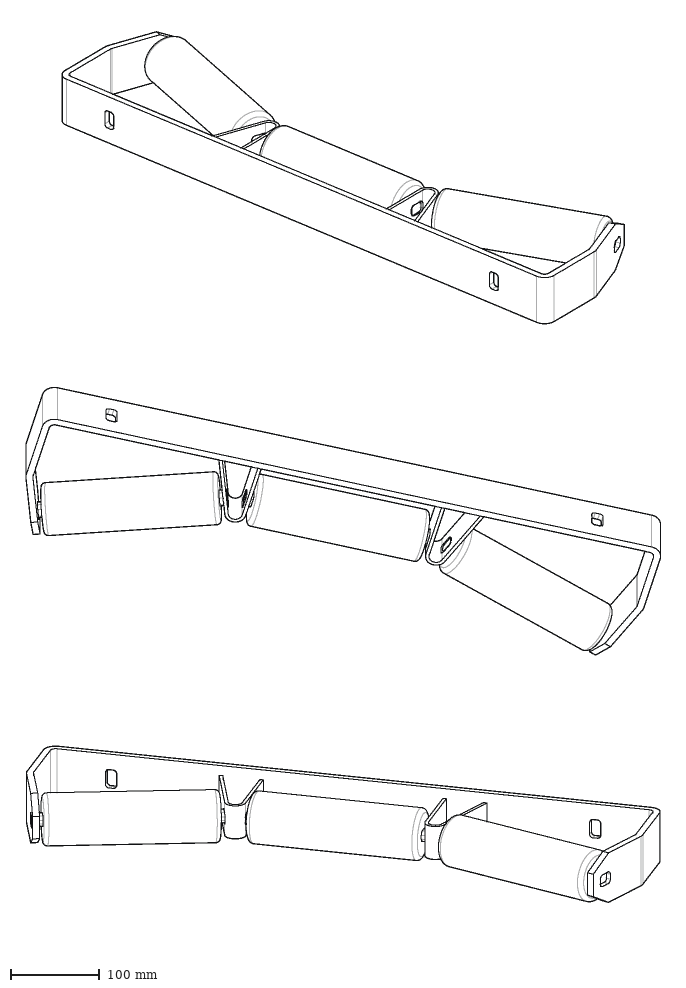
import cadquery as cq
import math


trough_angle = 20.0
roller_span = 210.0

frame_length = 720.0
frame_depth = 175.26
bar_height = 60.0
frame_thickness = 8.0
frame_bend_radius = 14.0
arm_corner_y = 86.6
tip_height = 27.0
tip_taper_length = 29.5

mount_slot_spacing = 566.0
mount_slot_width = 13.0
mount_slot_height = 22.0
mount_slot_corner = 4.0

bracket_thickness = 4.0
bracket_height = 40.0
bracket_bend_radius = 12.0

roller_diameter = 60.0
roller_length = 200.0
roller_edge_radius = 5.0
middle_axis_y = 72.0
inner_axis_z = -2.0
side_axis_along_arm = 70.0

axle_width = 17.0
axle_height = 12.5
axle_corner = 4.0
axle_engagement = 3.0

slot_width = 19.0
slot_height = 14.0
slot_corner = 4.0

tilt = math.radians(trough_angle)
sin_tilt = math.sin(tilt)
cos_tilt = math.cos(tilt)
half_length = frame_length / 2
arm_length = (frame_depth - arm_corner_y) / cos_tilt
corner_setback = math.tan(tilt / 2)


def arm_point(along, inward=0.0):
    """Point on the left arm: distance along its outer face and depth below that face."""
    x = -half_length + along * sin_tilt + inward * cos_tilt
    y = arm_corner_y + along * cos_tilt - inward * sin_tilt
    return x, y


def plate_plane(origin, turn, lift=0.0):
    """Plane whose normal is turned about Z and lifted out of XY; local x lies in XY, local y is upward."""
    turn_radians = math.radians(turn)
    lift_radians = math.radians(lift)
    normal = (
        math.cos(turn_radians) * math.cos(lift_radians),
        math.sin(turn_radians) * math.cos(lift_radians),
        math.sin(lift_radians),
    )
    across = (-math.sin(turn_radians), math.cos(turn_radians), 0)
    return cq.Plane(origin=origin, xDir=across, normal=normal)


def centred_on(plane, length):
    """The plane moved back along its normal, so that an extrusion of this length is centred on it."""
    return cq.Workplane(plane).workplane(offset=-length / 2)


def rounded_bar(plane, width, height, corner, length):
    """Rounded rectangular bar centred on the plane."""
    bar = centred_on(plane, length).rect(width, height).extrude(length)
    return bar.edges(cq.selectors.ParallelDirSelector(plane.zDir)).fillet(corner)


side_centre_x, side_centre_y = arm_point(side_axis_along_arm, frame_thickness + roller_span / 2)
side_centre_z = inner_axis_z / 2
side_lift = math.degrees(math.asin(-inner_axis_z / roller_span))

roller_places = [
    ((side_centre_x, side_centre_y, side_centre_z), -trough_angle, -side_lift),
    ((0.0, middle_axis_y, inner_axis_z), 0.0, 0.0),
    ((-side_centre_x, side_centre_y, side_centre_z), trough_angle, side_lift),
]


def axle_slots(z):
    """Cutters for axle slots at height z, long enough to pass through the plates at both roller ends.

    Each axle rests on the end of its slot that faces the web, so all the clearance is beyond it.
    """
    slot_length = roller_span + 4 * frame_thickness
    clearance = slot_width - axle_width
    cutters = []
    for (x, y, _), turn, _ in roller_places:
        plane = plate_plane((x, y, z), turn)
        plane.origin = plane.toWorldCoords((clearance / 2, 0, 0))
        cutters.append(rounded_bar(plane, slot_width, slot_height, slot_corner, slot_length))
    return cutters


def build_frame():
    inner_side_x = -half_length + frame_thickness
    inner_corner_y = arm_corner_y - frame_thickness * corner_setback
    left = [
        (-half_length, 0.0),
        (-half_length, arm_corner_y),
        arm_point(arm_length),
        arm_point(arm_length, frame_thickness),
        (inner_side_x, inner_corner_y),
        (inner_side_x, frame_thickness),
    ]
    right = [(-x, y) for x, y in reversed(left)]
    frame = cq.Workplane("XY").polyline(left + right).close().extrude(bar_height / 2, both=True)

    outer_corners = [left[0], left[1], right[-1], right[-2]]
    inner_corners = [left[4], left[5], right[0], right[1]]
    frame = round_bends(frame, outer_corners, frame_bend_radius)
    frame = round_bends(frame, inner_corners, frame_bend_radius - frame_thickness)
    frame = taper_tips(frame)

    mount_slots = (
        cq.Workplane("XZ")
        .pushPoints([(side * mount_slot_spacing / 2, 0) for side in (-1, 1)])
        .rect(mount_slot_width, mount_slot_height)
        .extrude(-frame_thickness)
        .edges("|Y")
        .fillet(mount_slot_corner)
    )
    frame = frame.cut(mount_slots)
    for slot in axle_slots(0.0):
        frame = frame.cut(slot)
    return frame


def round_bends(body, corners, radius):
    """Fillet the upright edges that pass through the given XY corners."""
    for x, y in corners:
        body = body.edges(cq.selectors.NearestToPointSelector((x, y, 0))).fillet(radius)
    return body


def taper_tips(frame):
    """Cut the top and bottom corners off both arm tips."""
    half_height = bar_height / 2
    corner_cut = [
        (arm_length, tip_height / 2),
        (arm_length, half_height),
        (arm_length - tip_taper_length, half_height),
    ]
    arm_face = plate_plane((*arm_point(0.0), 0.0), -trough_angle)
    cutter = cq.Workplane(arm_face).polyline(corner_cut).close().extrude(frame_thickness)
    cutter = cutter.union(cutter.mirror("XY"))
    return frame.cut(cutter).cut(cutter.mirror("YZ"))


def build_bracket(side):
    """Flat bar folded into an upright leg and a leg parallel to the arm, standing on the web."""
    fold_x = -roller_span / 2 - bracket_bend_radius
    arm_face_distance = half_length * cos_tilt + arm_corner_y * sin_tilt
    leg_face_distance = arm_face_distance - frame_thickness - roller_span
    fold_y = (leg_face_distance - bracket_bend_radius + fold_x * cos_tilt) / sin_tilt

    def foot_x(radius):
        return fold_x - radius / cos_tilt - (fold_y - frame_thickness) * sin_tilt / cos_tilt

    def on_fold(radius, angle):
        return fold_x + radius * math.cos(angle), fold_y + radius * math.sin(angle)

    leg_end_angle = math.pi - tilt
    fold_middle_angle = leg_end_angle / 2
    outer = bracket_bend_radius
    inner = bracket_bend_radius - bracket_thickness
    bracket = (
        cq.Workplane("XY")
        .moveTo(foot_x(outer), frame_thickness)
        .lineTo(*on_fold(outer, leg_end_angle))
        .threePointArc(on_fold(outer, fold_middle_angle), on_fold(outer, 0.0))
        .lineTo(fold_x + outer, frame_thickness)
        .lineTo(fold_x + inner, frame_thickness)
        .lineTo(*on_fold(inner, 0.0))
        .threePointArc(on_fold(inner, fold_middle_angle), on_fold(inner, leg_end_angle))
        .lineTo(foot_x(inner), frame_thickness)
        .close()
        .extrude(bracket_height / 2, both=True)
        .translate((0, 0, inner_axis_z))
    )
    if side > 0:
        bracket = bracket.mirror("YZ")
    for slot in axle_slots(inner_axis_z):
        bracket = bracket.cut(slot)
    return bracket


def build_roller(centre, turn, lift):
    """Roller with rounded rims on an axle whose ends enter the slots of the carrying plates."""
    plane = plate_plane(centre, turn, lift)
    shell = centred_on(plane, roller_length).circle(roller_diameter / 2).extrude(roller_length)
    shell = shell.faces(cq.selectors.ParallelDirSelector(plane.zDir)).edges().fillet(roller_edge_radius)
    axle_length = roller_span + 2 * axle_engagement
    return shell.union(rounded_bar(plane, axle_width, axle_height, axle_corner, axle_length))


frame = build_frame()
brackets = [build_bracket(side) for side in (-1, 1)]
rollers = [build_roller(*place) for place in roller_places]

result = cq.Compound.makeCompound(
    [frame.val()] + [bracket.val() for bracket in brackets] + [roller.val() for roller in rollers]
)